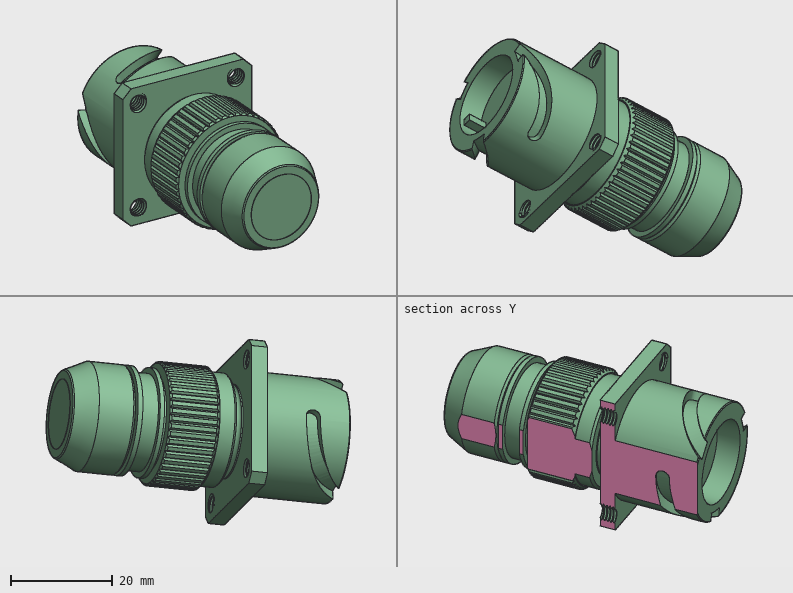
import cadquery as cq
import math


barrel_radius = 12.35
barrel_length = 18.1
barrel_chamfer = 0.2
cavity_radius = 8.75
cavity_depth = 5.0

key_width = 1.65
key_inner_radius = 6.9
key_front = 1.0

groove_count = 3
groove_width = 2.9
groove_floor_radius = 10.4
groove_start_angle = 16.5
groove_end_angle = -62.5
groove_end_x = 7.75
groove_steps = 24
groove_overrun = 1.6
cut_clearance = 1.0

flange_size = 30.0
flange_thickness = 3.3
flange_chamfer = 1.9
hole_offset = 11.5
hole_radius = 1.68
thread_major_radius = 2.1
thread_pitch = 0.7
thread_flank_width = 0.9 * thread_pitch
thread_root_overlap = 0.08
thread_root_radius = hole_radius - thread_root_overlap

flange_back = barrel_length + flange_thickness
neck_flare_radius = 9.45
neck_radius = 8.6
neck_flare_start = flange_back + 0.3
neck_flare_end = neck_flare_start + neck_flare_radius - neck_radius
collar_start = 23.2
collar_radius = 11.4
collar_chamfer = 0.5
collar_root_chamfer = 0.15
knurl_start = 26.87
knurl_end = 37.4
knurl_radius = 12.38
knurl_front_chamfer = 0.75
knurl_back_chamfer = 0.4
ring_radius = 11.0
front_ring_start = 38.2
front_ring_end = 39.1
back_ring_start = 42.7
back_ring_end = 43.7
knurl_neck_radius = 9.7
ring_neck_radius = 9.78
shell_neck_radius = 9.3

shell_start = 44.1
shell_chamfer = 0.5
taper_start = 51.75
taper_end = 56.25
taper_end_radius = 8.93
total_length = 56.6
end_chamfer = 0.25
end_pad_height = 0.1
end_pad_radius = 7.0

flute_count = 50
flute_pitch = 360.0 / flute_count
flute_phase = -0.25 * flute_pitch
flute_depth = 0.42
flute_half_width = 0.38
flute_clearance = 0.2


def make_body():
    """Revolve the stepped profile of everything except the flange."""
    flare_size = neck_flare_radius - neck_radius
    flare_drop = flare_size * (1 - math.sqrt(0.5))
    flare_middle = (neck_flare_end - flare_size * math.sqrt(0.5), neck_radius + flare_drop)
    rim_end = total_length - end_pad_height
    front_points = [
        (0, 0),
        (0, barrel_radius - barrel_chamfer),
        (barrel_chamfer, barrel_radius),
        (flange_back, barrel_radius),
        (flange_back, neck_flare_radius),
        (neck_flare_start, neck_flare_radius),
    ]
    rear_points = [
        (collar_start - collar_root_chamfer, neck_radius),
        (collar_start, neck_radius + collar_root_chamfer),
        (collar_start, collar_radius - collar_chamfer),
        (collar_start + collar_chamfer, collar_radius),
        (knurl_start, collar_radius),
        (knurl_start, knurl_radius - knurl_front_chamfer),
        (knurl_start + knurl_front_chamfer, knurl_radius),
        (knurl_end - knurl_back_chamfer, knurl_radius),
        (knurl_end, knurl_radius - knurl_back_chamfer),
        (knurl_end, knurl_neck_radius),
        (front_ring_start, knurl_neck_radius),
        (front_ring_start, ring_radius),
        (front_ring_end, ring_radius),
        (front_ring_end, ring_neck_radius),
        (back_ring_start, ring_neck_radius),
        (back_ring_start, ring_radius),
        (back_ring_end, ring_radius),
        (back_ring_end, shell_neck_radius),
        (shell_start, shell_neck_radius),
        (shell_start, ring_radius - shell_chamfer),
        (shell_start + shell_chamfer, ring_radius),
        (taper_start, ring_radius),
        (taper_end, taper_end_radius),
        (rim_end, taper_end_radius - end_chamfer),
        (rim_end, end_pad_radius),
        (total_length, end_pad_radius),
        (total_length, 0),
    ]
    profile = (
        cq.Workplane("XY")
        .polyline(front_points)
        .threePointArc(flare_middle, (neck_flare_end, neck_radius))
        .polyline(rear_points, includeCurrent=True)
        .close()
    )
    return profile.revolve(360, (0, 0, 0), (1, 0, 0))


def make_flange():
    """Square plate with chamfered corners."""
    return (
        cq.Workplane("YZ", origin=(barrel_length, 0, 0))
        .rect(flange_size, flange_size)
        .extrude(flange_thickness)
        .edges("|X")
        .chamfer(flange_chamfer)
    )


def make_thread():
    """Cutter for one V-shaped helical thread about the Z axis, starting at Z = 0."""
    half_flank = thread_flank_width / 2
    thread_length = flange_thickness + thread_pitch
    corners = [
        (thread_root_radius, -half_flank),
        (thread_major_radius, 0),
        (thread_root_radius, half_flank),
    ]
    helices = []
    for radius, height in corners:
        helix = cq.Wire.makeHelix(thread_pitch, thread_length, radius)
        helices.append(helix.moved(cq.Location(cq.Vector(0, 0, height))).Edges()[0])

    faces = []
    for index, helix in enumerate(helices):
        faces.append(cq.Face.makeRuledSurface(helix, helices[index - 1]))
    for end in (0, 1):
        triangle = [helix.positionAt(end) for helix in helices]
        faces.append(cq.Face.makeFromWires(cq.Wire.makePolygon(triangle, close=True)))
    return cq.Solid.makeSolid(cq.Shell.makeShell(faces)).fix()


def cut_flange_holes(part):
    """Cut the four tapped holes, mirrored about both centre planes."""
    bore = cq.Solid.makeCylinder(hole_radius, flange_thickness)
    hole_place = cq.Location(
        cq.Plane(origin=(barrel_length, hole_offset, hole_offset), xDir=(0, 1, 0), normal=(1, 0, 0))
    )
    for cutter in (bore, make_thread()):
        upper_left = cutter.moved(hole_place)
        upper_right = upper_left.mirror("XZ")
        for upper in (upper_left, upper_right):
            part = part.cut(cq.Workplane(upper))
            part = part.cut(cq.Workplane(upper.mirror("XY")))
    return part


def radial_direction(angle):
    """Unit vector at an angle measured from -Y towards +Z."""
    return cq.Vector(0, -math.cos(math.radians(angle)), math.sin(math.radians(angle)))


def make_groove():
    """Cutter for one groove: a circular arc wrapped on the barrel, flat-floored and round-ended."""
    arc_span = barrel_radius * math.radians(groove_start_angle - groove_end_angle)
    arc_radius = (arc_span ** 2 + groove_end_x ** 2) / (2 * groove_end_x)
    face_turn = math.asin(arc_span / arc_radius)
    total_turn = face_turn + groove_overrun / arc_radius
    outer_radius = barrel_radius + cut_clearance

    sections = []
    for step in range(groove_steps + 1):
        turn = total_turn * step / groove_steps
        path_x = groove_end_x - arc_radius * (1 - math.cos(turn))
        angle = groove_end_angle + math.degrees(arc_radius * math.sin(turn) / barrel_radius)
        radial = radial_direction(angle)
        around = radial_direction(angle + 90)
        across = cq.Vector(math.cos(turn), 0, 0) + around * math.sin(turn)
        centre = cq.Vector(path_x, 0, 0)
        half = across * (groove_width / 2)
        floor = centre + radial * groove_floor_radius
        top = centre + radial * outer_radius
        sections.append(cq.Wire.makePolygon([floor - half, floor + half, top + half, top - half], close=True))
    channel = cq.Solid.makeLoft(sections, True)

    end_radial = radial_direction(groove_end_angle)
    end_point = cq.Vector(groove_end_x, 0, 0) + end_radial * groove_floor_radius
    round_end = cq.Solid.makeCylinder(
        groove_width / 2, outer_radius - groove_floor_radius, end_point, end_radial
    )
    return channel.fuse(round_end)


def cut_grooves(part):
    """Cut the equally spaced bayonet grooves."""
    groove = cq.Workplane(make_groove())
    for index in range(groove_count):
        part = part.cut(groove.rotate((0, 0, 0), (1, 0, 0), index * 360 / groove_count))
    return part


def cut_cavity(part):
    """Open the front cavity, leaving the key standing on its wall."""
    cavity = cq.Workplane("YZ").circle(cavity_radius).extrude(cavity_depth)
    key_height = cavity_radius - key_inner_radius
    key = (
        cq.Workplane("YZ", origin=(key_front, key_inner_radius + key_height / 2, 0))
        .rect(key_height, key_width)
        .extrude(cavity_depth - key_front)
    )
    return part.cut(cavity.cut(key))


def cut_knurl(part):
    """Cut V-shaped flutes along the knurled ring."""
    outer = knurl_radius + flute_clearance
    outer_half_width = flute_half_width * (1 + flute_clearance / flute_depth)
    flute = (
        cq.Workplane("YZ", origin=(knurl_start, 0, 0))
        .polyline([
            (-(knurl_radius - flute_depth), 0),
            (-outer, outer_half_width),
            (-outer, -outer_half_width),
        ])
        .close()
        .extrude(knurl_end - knurl_start)
    )
    flutes = []
    for index in range(flute_count):
        angle = flute_phase + index * flute_pitch
        flutes.append(flute.rotate((0, 0, 0), (1, 0, 0), angle).val())
    return part.cut(cq.Workplane(cq.Compound.makeCompound(flutes)))


result = make_body()
result = cut_cavity(result)
result = cut_grooves(result)
result = cut_knurl(result)
result = result.union(cut_flange_holes(make_flange()))